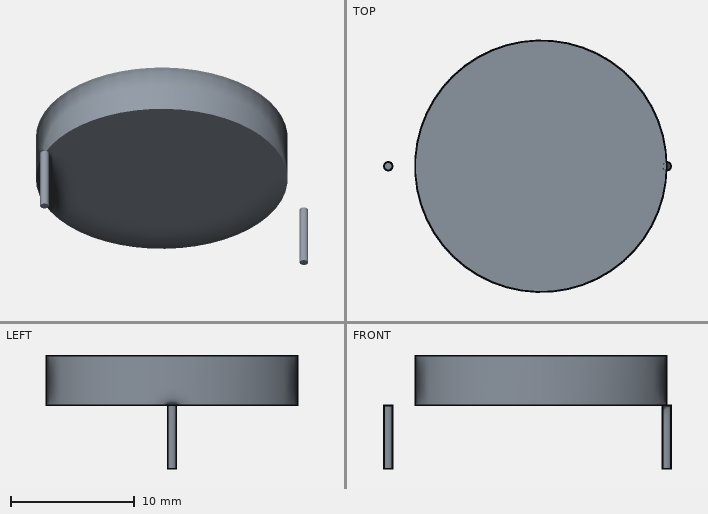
import cadquery as cq

disc_diameter = 20.35
disc_height = 4.01

pin_diameter = 0.7
pin_length = 5.13
pin_spacing = 22.5
right_pin_x = disc_diameter / 2
left_pin_x = right_pin_x - pin_spacing


def make_disc():
    return cq.Workplane("XY").circle(disc_diameter / 2).extrude(disc_height)


def make_pin(x):
    """Pin hanging down from the level of the disc's lower face."""
    return cq.Workplane("XY").center(x, 0).circle(pin_diameter / 2).extrude(-pin_length)


disc = make_disc()
pins = [make_pin(x) for x in (left_pin_x, right_pin_x)]

result = cq.Compound.makeCompound([disc.val(), *[pin.val() for pin in pins]])